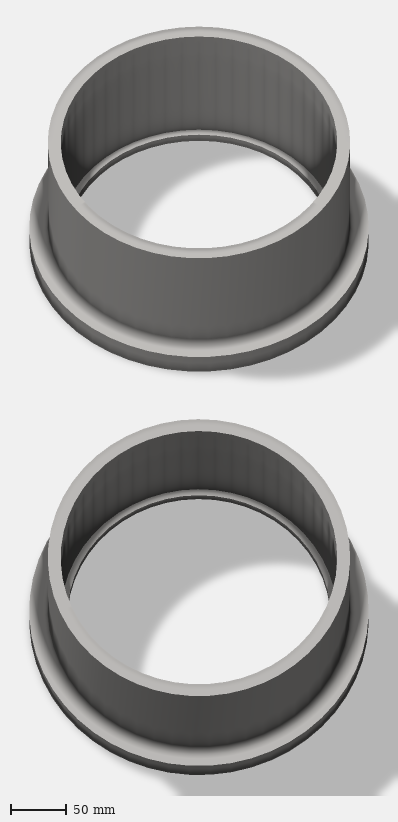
import cadquery as cq

total_height = 139.5
flange_diameter = 307.0
flange_thickness = 20.5
tube_outer_diameter = 273.5
tube_inner_diameter = 250.0
lip_inner_diameter = 238.0
lip_thickness = 8.5
root_fillet_radius = 5.0


def disc(diameter, bottom, top):
    """Solid cylinder on the Z axis between two heights."""
    return cq.Workplane("XY", origin=(0, 0, bottom)).circle(diameter / 2).extrude(top - bottom)


def outer_body():
    """Flange and tube as one solid, with a fillet where the tube meets the flange."""
    flange = disc(flange_diameter, 0, flange_thickness)
    tube = disc(tube_outer_diameter, 0, total_height)
    flange_top_face = cq.selectors.NearestToPointSelector((flange_diameter / 2, 0, flange_thickness))
    body = flange.union(tube)
    root_edge = cq.selectors.RadiusNthSelector(0)
    return body.faces("|Z").faces(flange_top_face).edges(root_edge).fillet(root_fillet_radius)


def stepped_bore():
    """Through bore in the bottom lip, opening to the full tube bore above it."""
    lip_bore = disc(lip_inner_diameter, 0, total_height)
    main_bore = disc(tube_inner_diameter, lip_thickness, total_height)
    return lip_bore.union(main_bore)


result = outer_body().cut(stepped_bore())